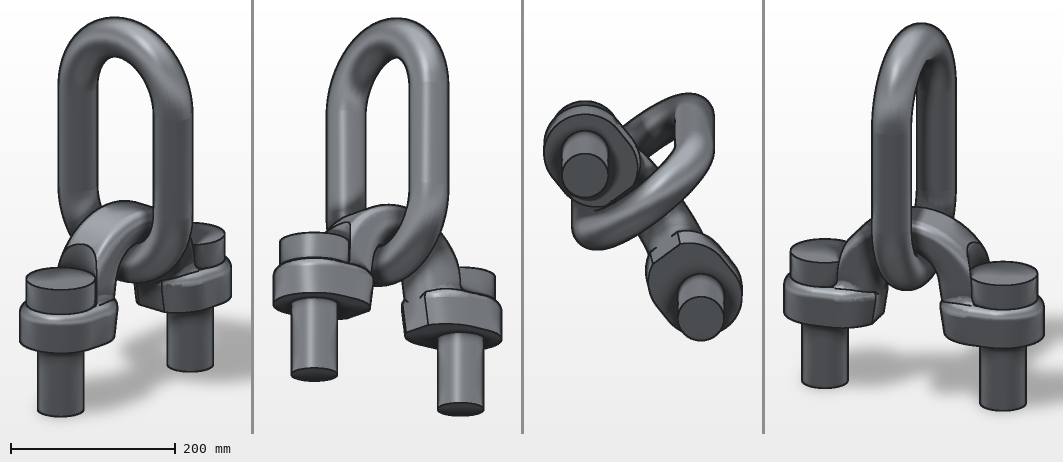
import cadquery as cq
import math


bolt_spacing = 230.0
head_diameter = 84.0
head_height = 31.5
shank_diameter = 56.0
shank_length = 89.0
hole_diameter = 58.0
seat_height = 47.0

ring_width = 206.0
wire_diameter = 48.0
ring_bottom = 48.0
ring_top = 382.0

bow_width = 67.0
outer_arc_height = 42.5
outer_arc_radius = 99.5
inner_arc_height = 60.3
inner_arc_radius = 36.5
leg_tilt = math.radians(9.0)
outer_edge_round = 12.5
inner_edge_round = 26.5

foot_width = 100.0
lobe_overreach = 4.5
foot_edge_round = 12.5
leg_root_round = 11.5
core_height = 48.0
core_edge_round = 17.0
seat_diameter = 87.0

margin = 0.25

bolt_offset = bolt_spacing / 2
foot_radius = foot_width / 2
slope = math.tan(leg_tilt)

inner_tangent_y = inner_arc_radius * math.cos(leg_tilt)
inner_tangent_z = inner_arc_height + inner_arc_radius * math.sin(leg_tilt)
inner_base_y = inner_tangent_y + inner_tangent_z * slope

lobe_half_length = foot_radius / math.cos(leg_tilt)
lobe_base_y = inner_base_y + lobe_half_length - lobe_overreach


def make_bow_arch():
    """Arch with two splayed legs, extruded across X and rounded along its edges."""
    outer_top = outer_arc_height + outer_arc_radius
    inner_top = inner_arc_height + inner_arc_radius
    profile = (
        cq.Workplane("YZ", origin=(-bow_width / 2, 0, 0))
        .moveTo(-outer_arc_radius, 0)
        .lineTo(-outer_arc_radius, outer_arc_height)
        .threePointArc((0, outer_top), (outer_arc_radius, outer_arc_height))
        .lineTo(outer_arc_radius, 0)
        .lineTo(inner_base_y, 0)
        .lineTo(inner_tangent_y, inner_tangent_z)
        .threePointArc((0, inner_top), (-inner_tangent_y, inner_tangent_z))
        .lineTo(-inner_base_y, 0)
        .close()
    )
    arch = profile.extrude(bow_width)
    outer_edge = cq.selectors.RadiusNthSelector(1)
    inner_edge = cq.selectors.RadiusNthSelector(0)
    arch = arch.edges("%CIRCLE").edges(outer_edge).fillet(outer_edge_round)
    side_faces = arch.faces("<X or >X")
    return side_faces.edges("%CIRCLE").edges(inner_edge).fillet(inner_edge_round)


def make_foot(height, edge_round):
    """Rounded foot at +Y: upright outer end, leaning inner end, rounded upper rim."""
    outer_end = cq.Workplane("XY").center(0, bolt_offset).circle(foot_radius).extrude(height)
    lean = height * slope
    lobe_top_y = lobe_base_y - lean
    middle = (
        cq.Workplane("YZ", origin=(-foot_radius, 0, 0))
        .polyline([(bolt_offset, 0), (bolt_offset, height), (lobe_top_y, height), (lobe_base_y, 0)])
        .close()
        .extrude(foot_width)
    )
    axis = cq.Vector(0, -math.sin(leg_tilt), math.cos(leg_tilt))
    reach = 3 * height
    start = cq.Vector(0, lobe_base_y, 0) - axis * height
    lobe = cq.Workplane(cq.Solid.makeCylinder(foot_radius, reach, start, axis))
    slab = cq.Workplane("XY").rect(foot_width, 2 * bolt_spacing).extrude(height)
    foot = outer_end.union(middle).union(lobe.intersect(slab))
    beyond_leg = (
        cq.Workplane("YZ", origin=(-foot_width, 0, 0))
        .polyline([(inner_base_y, 0), (inner_base_y - height * slope, height), (0, height), (0, 0)])
        .close()
        .extrude(2 * foot_width)
    )
    return foot.cut(beyond_leg).faces(">Z").edges().fillet(edge_round)


def leg_root(side):
    """Selector for the edges where one leg meets the core of its foot."""
    half_width = bow_width / 2 + margin
    inner_corner = (-half_width, side * (inner_base_y - core_height * slope), 0)
    outer_corner = (half_width, side * (outer_arc_radius + margin), core_height + margin)
    return cq.selectors.BoxSelector(inner_corner, outer_corner, boundingbox=True)


def make_bow():
    """Arch and feet joined by root fillets, then cut for the bolt heads and shanks."""
    core = make_foot(core_height, core_edge_round)
    foot = make_foot(seat_height, foot_edge_round)
    bow = make_bow_arch().union(core).union(core.mirror("XZ"))
    for side in (1, -1):
        bow = bow.edges(leg_root(side)).fillet(leg_root_round)
    bow = bow.union(foot).union(foot.mirror("XZ"))
    for y in (-bolt_offset, bolt_offset):
        seat = cq.Workplane("XY", origin=(0, y, seat_height)).circle(seat_diameter / 2).extrude(ring_top)
        hole = cq.Workplane("XY", origin=(0, y, 0)).circle(hole_diameter / 2).extrude(seat_height)
        bow = bow.cut(seat).cut(hole)
    return bow


def make_bolt(y):
    seat = cq.Workplane("XY", origin=(0, y, seat_height))
    head = seat.circle(head_diameter / 2).extrude(head_height)
    shank = seat.circle(shank_diameter / 2).extrude(-(seat_height + shank_length))
    return head.union(shank)


def make_ring():
    """Oblong link of round wire in the XZ plane."""
    bend_radius = (ring_width - wire_diameter) / 2
    lower_z = ring_bottom + ring_width / 2
    upper_z = ring_top - ring_width / 2
    path = (
        cq.Workplane("XZ")
        .moveTo(-bend_radius, lower_z)
        .lineTo(-bend_radius, upper_z)
        .threePointArc((0, upper_z + bend_radius), (bend_radius, upper_z))
        .lineTo(bend_radius, lower_z)
        .threePointArc((0, lower_z - bend_radius), (-bend_radius, lower_z))
        .close()
    )
    wire = cq.Workplane("XY", origin=(-bend_radius, 0, lower_z)).circle(wire_diameter / 2)
    return wire.sweep(path)


bow = make_bow()
ring = make_ring()
bolts = [make_bolt(y).val() for y in (-bolt_offset, bolt_offset)]

result = cq.Compound.makeCompound([bow.val(), ring.val(), *bolts])